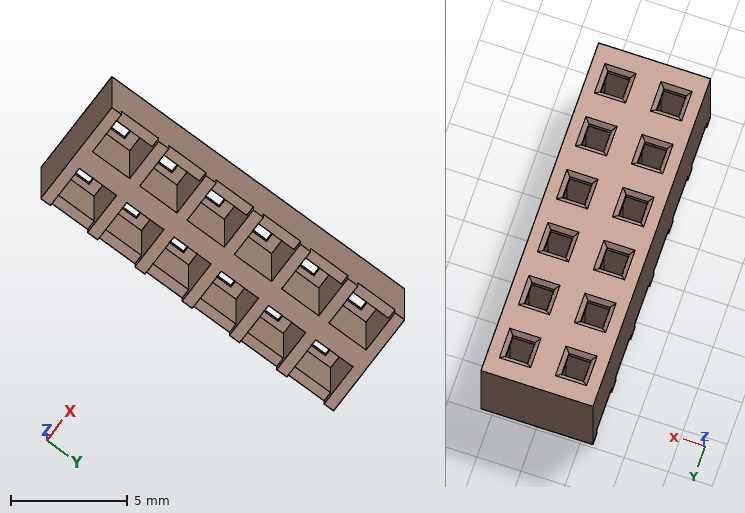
import cadquery as cq

width = 5.08
length = 15.74
height = 5.0

columns = 2
rows = 6
pitch = width / columns

hole_side = 1.0
lead_in_depth = 0.2
lead_in_side = hole_side + 2 * lead_in_depth
neck_depth = 0.3

cavity_width = 1.6
cavity_length = 2.0
cavity_height = height - lead_in_depth - neck_depth

notch_height = 0.5
notch_depth = (pitch - cavity_width) / 2


def grid_centers(count, spacing):
    """Evenly spaced positions, symmetric about zero."""
    return [(index - (count - 1) / 2) * spacing for index in range(count)]


def bottom_block(x, y, size_x, size_y, size_z):
    """Rectangular block centered on (x, y) and rising from the bottom face."""
    return cq.Workplane("XY", origin=(x, y, 0)).rect(size_x, size_y).extrude(size_z)


def lead_in(x, y):
    """Tapered mouth, widest at the top face."""
    return (
        cq.Workplane("XY", origin=(x, y, height))
        .rect(lead_in_side, lead_in_side)
        .workplane(offset=-lead_in_depth)
        .rect(hole_side, hole_side)
        .loft()
    )


def contact_space(x, y):
    """Lead-in, neck and cavity for one contact."""
    neck = bottom_block(x, y, hole_side, hole_side, height)
    cavity = bottom_block(x, y, cavity_width, cavity_length, cavity_height)
    return cavity.union(neck).union(lead_in(x, y))


def side_notch(side, y):
    """Opening from the outer wall into the cavity; side is -1 or 1 along X."""
    x = side * (width - notch_depth) / 2
    return bottom_block(x, y, notch_depth, cavity_length, notch_height)


result = cq.Workplane("XY").box(width, length, height, centered=(True, True, False))

for y in grid_centers(rows, pitch):
    for x in grid_centers(columns, pitch):
        result = result.cut(contact_space(x, y))
    for side in (-1, 1):
        result = result.cut(side_notch(side, y))